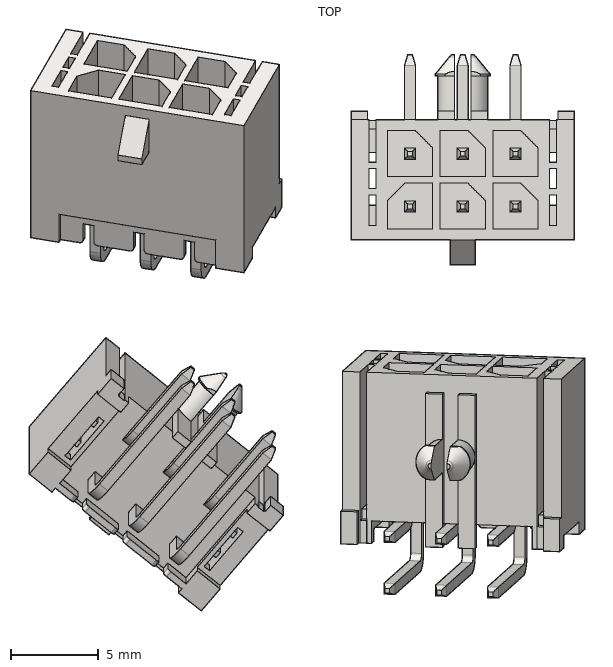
import cadquery as cq
import math


WIDTH = 12.7
DEPTH = 6.85
HEIGHT = 9.89
PITCH = 3.0
FRONT_ROW_Y = 1.9
COLUMNS = (-1, 0, 1)
ROWS = (0, 1)

POCKET_WIDTH = 2.58
POCKET_FRONT_REACH = 1.3
POCKET_REAR_REACH = 1.32
POCKET_CHAMFER = 0.99
POCKET_FLOOR_Z = 2.8

PIN_SIZE = 0.64
PIN_TIP_SIZE = 0.27
PIN_TAPER_LENGTH = 0.61
PIN_BEND_OUTER = 1.0
PIN_TOP_Z = 7.62
PIN_END_Y = 10.54
FRONT_PIN_BOTTOM_Z = -2.32

SHOULDER_Z = 1.89
RECESS_WIDTH = 9.32
RECESS_DEPTH = 0.3
FRONT_WALL = 0.38
NOTCH_HEIGHT = 0.72
NOTCH_START_Y = 1.69
NOTCH_END_Y = 6.12
SLOT_MOUTH_RADIUS = 0.23
TROUGH_TOP_Z = FRONT_PIN_BOTTOM_Z + PITCH + PIN_SIZE

STANDOFF = 0.48
BOARD_Y = DEPTH + STANDOFF
FOOT_WIDTH = 0.94
STANDOFF_TOP_Z = 8.86

PEG_Z = 5.28
PEG_SLIT = 0.91
PRONG_RADIUS = 0.98
PEG_RIM_RADIUS = 1.12
PEG_RIM_THICKNESS = 0.09
PEG_RIM_Y = 9.33
PEG_CONE_END_Y = 10.4
PEG_CONE_END_RADIUS = 0.32
PEG_END_Y = PIN_END_Y
PEG_TIP_RADIUS = 0.18

LATCH_WIDTH = 1.42
LATCH_REACH = 1.42
LATCH_TOP_Z = 9.27
LATCH_BOTTOM_Z = 7.09
LATCH_LIP = 0.38

SIDE_SLOT_X = 5.13
SIDE_SLOT_WIDTH = 0.4
SIDE_SLOT_START_Y = 0.83
SIDE_SLOT_WEB = 0.38
FRONT_WEB_Y = 2.55
REAR_WEB_Y = 4.05
SIDE_OPENING_START_Y = 1.98
SIDE_OPENING_END_Y = 4.97
SIDE_STEP_Y = 6.31
SIDE_STEP_END_Y = 6.8
SIDE_FLOOR_Z = SHOULDER_Z
SIDE_STEP_Z = TROUGH_TOP_Z


def box(x_range, y_range, z_range):
    """Axis-aligned block between the given limits."""
    size = [high - low for low, high in (x_range, y_range, z_range)]
    return cq.Workplane("XY").box(*size, centered=False).translate((x_range[0], y_range[0], z_range[0]))


def centred(width, middle=0.0):
    """Limits of a width placed about its middle."""
    return (middle - width / 2, middle + width / 2)


def pin_taper():
    """Tapered pin end that rises from the origin along Z."""
    angle = math.degrees(math.atan((PIN_SIZE - PIN_TIP_SIZE) / 2 / PIN_TAPER_LENGTH))
    return cq.Workplane("XY").rect(PIN_SIZE, PIN_SIZE).extrude(PIN_TAPER_LENGTH, taper=angle)


def make_pin(column, row):
    """L-shaped square pin: a contact leg along Z and a solder tail along Y."""
    x = column * PITCH
    leg_y = FRONT_ROW_Y + row * PITCH
    front = leg_y - PIN_SIZE / 2
    back = leg_y + PIN_SIZE / 2
    bottom = FRONT_PIN_BOTTOM_Z + row * PITCH
    top = bottom + PIN_SIZE
    shoulder_z = PIN_TOP_Z - PIN_TAPER_LENGTH
    shoulder_y = PIN_END_Y - PIN_TAPER_LENGTH
    bend_y = front + PIN_BEND_OUTER
    bend_z = bottom + PIN_BEND_OUTER
    diagonal = math.sqrt(0.5)
    outer_reach = PIN_BEND_OUTER * diagonal
    inner_reach = (PIN_BEND_OUTER - PIN_SIZE) * diagonal
    bar = (
        cq.Workplane("YZ")
        .moveTo(front, shoulder_z)
        .lineTo(front, bend_z)
        .threePointArc((bend_y - outer_reach, bend_z - outer_reach), (bend_y, bottom))
        .lineTo(shoulder_y, bottom)
        .lineTo(shoulder_y, top)
        .lineTo(bend_y, top)
        .threePointArc((bend_y - inner_reach, bend_z - inner_reach), (back, bend_z))
        .lineTo(back, shoulder_z)
        .close()
        .extrude(PIN_SIZE / 2, both=True)
        .translate((x, 0, 0))
    )
    contact_end = pin_taper().translate((x, leg_y, shoulder_z))
    tail_end = (
        pin_taper()
        .rotate((0, 0, 0), (1, 0, 0), -90)
        .translate((x, shoulder_y, bottom + PIN_SIZE / 2))
    )
    return bar.union(contact_end).union(tail_end).solids()


def pocket(column, row):
    """Square contact pocket with one chamfered rear corner, which keys the plug."""
    is_key = column == COLUMNS[0] and row == ROWS[0]
    key_side = "<X" if is_key else ">X"
    pin_y = FRONT_ROW_Y + row * PITCH
    blank = box(
        centred(POCKET_WIDTH, column * PITCH),
        (pin_y - POCKET_FRONT_REACH, pin_y + POCKET_REAR_REACH),
        (POCKET_FLOOR_Z, HEIGHT),
    )
    return blank.faces(key_side).edges("|Z and >Y").chamfer(POCKET_CHAMFER)


def side_slots(middle_x):
    """Line of three slots; the outer two step up from an opening that passes through the underside."""
    x_range = centred(SIDE_SLOT_WIDTH, middle_x)
    slots = box(x_range, (SIDE_SLOT_START_Y, DEPTH), (SIDE_FLOOR_Z, HEIGHT))
    slots = slots.union(box(x_range, (SIDE_OPENING_START_Y, SIDE_OPENING_END_Y), (0, HEIGHT)))
    slots = slots.union(box(x_range, (SIDE_STEP_Y, DEPTH), (SIDE_STEP_Z, HEIGHT)))
    slots = slots.union(box(x_range, (SIDE_STEP_END_Y, DEPTH), (0, HEIGHT)))
    for web_y in (FRONT_WEB_Y, REAR_WEB_Y):
        slots = slots.cut(box(x_range, (web_y, web_y + SIDE_SLOT_WEB), (SIDE_FLOOR_Z, HEIGHT)))
    return slots


def tail_slot(x):
    """Slot through the lower front wall in line with a pin, with a rounded mouth."""
    half = PIN_SIZE / 2
    mouth = half + SLOT_MOUTH_RADIUS
    bulge = SLOT_MOUTH_RADIUS * (1 - math.sqrt(0.5))
    return (
        cq.Workplane("XZ", origin=(x, 0, 0))
        .moveTo(-mouth, 0)
        .threePointArc((-half - bulge, bulge), (-half, SLOT_MOUTH_RADIUS))
        .lineTo(-half, TROUGH_TOP_Z)
        .lineTo(half, TROUGH_TOP_Z)
        .lineTo(half, SLOT_MOUTH_RADIUS)
        .threePointArc((half + bulge, bulge), (mouth, 0))
        .close()
        .extrude(-(RECESS_DEPTH + FRONT_WALL))
    )


def latch():
    """Ramp that the mating latch snaps over."""
    return (
        cq.Workplane("YZ")
        .polyline([
            (0, LATCH_TOP_Z),
            (-LATCH_REACH, LATCH_BOTTOM_Z + LATCH_LIP),
            (-LATCH_REACH, LATCH_BOTTOM_Z),
            (0, LATCH_BOTTOM_Z),
        ])
        .close()
        .extrude(LATCH_WIDTH / 2, both=True)
    )


def half_round(profile):
    """Half-turned solid on the +X side of the Y axis; the profile lists (y, radius) points."""
    return cq.Workplane("YZ").polyline(profile).close().revolve(180, (0, 0, 0), (1, 0, 0))


def right_prong():
    """Half-round peg prong with a barbed half-cone head that has flats above and below."""
    shaft = half_round([
        (BOARD_Y, 0),
        (BOARD_Y, PRONG_RADIUS),
        (PEG_RIM_Y, PRONG_RADIUS),
        (PEG_RIM_Y, 0),
    ])
    head = half_round([
        (PEG_RIM_Y, 0),
        (PEG_RIM_Y, PEG_RIM_RADIUS),
        (PEG_RIM_Y + PEG_RIM_THICKNESS, PEG_RIM_RADIUS),
        (PEG_CONE_END_Y, PEG_CONE_END_RADIUS),
        (PEG_END_Y, PEG_TIP_RADIUS),
        (PEG_END_Y, 0),
    ])
    flats = box(centred(WIDTH), (0, WIDTH), centred(2 * PRONG_RADIUS))
    return shaft.union(head.intersect(flats)).translate((PEG_SLIT / 2, 0, PEG_Z))


def right_standoff():
    """Rib that carries one prong and sets the distance to the board."""
    inner = PEG_SLIT / 2
    return box((inner, inner + PRONG_RADIUS), (DEPTH, BOARD_Y), (0, STANDOFF_TOP_Z))


def right_foot():
    """Short foot at the lower outer corner of the board side."""
    return box((WIDTH / 2 - FOOT_WIDTH, WIDTH / 2), (DEPTH, BOARD_Y), (0, SHOULDER_Z))


def make_housing(pins):
    """Housing with its latch, peg, standoffs, feet and all openings."""
    housing = box(centred(WIDTH), (0, DEPTH), (0, HEIGHT)).union(latch())
    for make_feature in (right_prong, right_standoff, right_foot):
        feature = make_feature()
        housing = housing.union(feature).union(feature.mirror("YZ"))

    wall_back = RECESS_DEPTH + FRONT_WALL
    housing = housing.cut(box(centred(RECESS_WIDTH), (0, RECESS_DEPTH), (0, SHOULDER_Z)))
    housing = housing.cut(box(centred(RECESS_WIDTH), (wall_back, DEPTH), (0, TROUGH_TOP_Z)))
    housing = housing.cut(box(centred(WIDTH), (NOTCH_START_Y, NOTCH_END_Y), (0, NOTCH_HEIGHT)))

    for side in (-1, 1):
        housing = housing.cut(side_slots(side * SIDE_SLOT_X))
    for column in COLUMNS:
        housing = housing.cut(tail_slot(column * PITCH))
        for row in ROWS:
            housing = housing.cut(pocket(column, row))

    for pin in pins:
        housing = housing.cut(pin)
    return housing.solids()


pins = [make_pin(column, row) for row in ROWS for column in COLUMNS]
housing = make_housing(pins)

result = cq.Compound.makeCompound([housing.val(), *[pin.val() for pin in pins]])